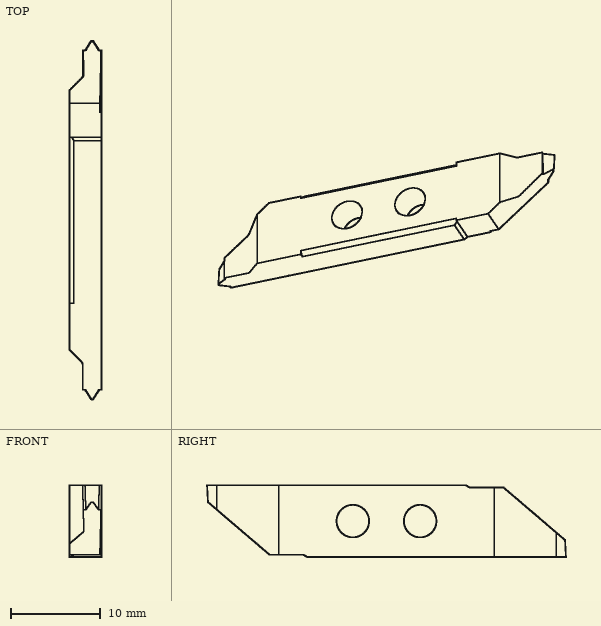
import cadquery as cq
import math

length = 40.0
thickness = 3.6
height = 8.0
half_length = length / 2
half_thickness = thickness / 2
half_height = height / 2

end_slope_angle = 40.5
nose_height = 1.8
seat_drop = 0.25
seat_ramp_length = 0.4
seat_edge = 9.25

neck_side_x = -0.32
neck_corner_distance = 4.07
neck_fillet = 0.45
side_clearance = 1.5
side_relief_length = 8.0

tip_x = (neck_side_x + half_thickness) / 2
tip_length = 1.1
tip_flank_angle = 32.0
tip_radius = 0.2
tip_clearance = 3.0

edge_chamfer = 0.5
chamfer_half_length = seat_edge
hole_diameter = 3.6
hole_spacing = 7.5

margin = 1.0


def body_blank():
    """Side outline, unchanged by a half turn about X, extruded across the thickness."""
    seat_z = half_height - seat_drop
    slope_run = (height - nose_height - seat_drop) / math.tan(math.radians(end_slope_angle))
    half_outline = [
        (-half_length, half_height),
        (seat_edge - seat_ramp_length, half_height),
        (seat_edge, seat_z),
        (half_length - slope_run, seat_z),
        (half_length, nose_height - half_height),
    ]
    outline = half_outline + [(-y, -z) for y, z in half_outline]
    return cq.Workplane("YZ").polyline(outline).close().extrude(half_thickness, both=True)


def leaning_side_cutter(edge_x, outward, reach):
    """Space beside the -Y end, bounded by a side face leaning in below its top edge."""
    depth = height + margin
    inset = depth * math.tan(math.radians(side_clearance))
    outer_x = outward * (half_thickness + margin)
    return (
        cq.Workplane("XZ", origin=(0, -half_length - margin, 0))
        .moveTo(edge_x, half_height)
        .lineTo(edge_x - outward * inset, half_height - depth)
        .lineTo(outer_x, half_height - depth)
        .lineTo(outer_x, half_height)
        .close()
        .extrude(-(reach + margin))
    )


def neck_cutter():
    """Leaning neck wall and 45 degree shoulder, with a fillet between them."""
    corner_y = neck_corner_distance - half_length
    shoulder_run = half_thickness + neck_side_x + margin
    overlap = thickness
    front_of_shoulder = (
        cq.Workplane("XY", origin=(0, 0, -height))
        .moveTo(neck_side_x - shoulder_run, corner_y + shoulder_run)
        .lineTo(neck_side_x + overlap, corner_y - overlap)
        .lineTo(neck_side_x + overlap, -length)
        .lineTo(neck_side_x - shoulder_run, -length)
        .close()
        .extrude(2 * height)
    )
    beside_wall = leaning_side_cutter(neck_side_x, -1, neck_corner_distance + shoulder_run)
    cutter = beside_wall.intersect(front_of_shoulder)
    corner_edge = cq.selectors.NearestToPointSelector((neck_side_x, corner_y, 0))
    return cutter.edges(corner_edge).fillet(neck_fillet)


def tip_cutter():
    """Space in front of the head, around the pointed tip with its rounded nose."""
    flank = math.radians(tip_flank_angle)
    nose_y = -half_length
    root_y = nose_y + tip_length + margin
    tangent_x = tip_radius * math.cos(flank)
    tangent_y = nose_y + tip_radius * (1 - math.sin(flank))
    root_x = tangent_x + (root_y - tangent_y) * math.tan(flank)
    depth = height
    lean_back = depth * math.tan(math.radians(tip_clearance))

    def tip_profile(plane):
        return (
            plane.moveTo(tip_x - root_x, root_y)
            .lineTo(tip_x - tangent_x, tangent_y)
            .threePointArc((tip_x, nose_y), (tip_x + tangent_x, tangent_y))
            .lineTo(tip_x + root_x, root_y)
            .close()
            .wire()
            .val()
        )

    upper = tip_profile(cq.Workplane("XY", origin=(0, 0, half_height)))
    lower = tip_profile(cq.Workplane("XY", origin=(0, lean_back, half_height - depth)))
    tip = cq.Workplane(obj=cq.Solid.makeLoft([upper, lower], True))
    space = cq.Workplane("XY").box(
        thickness + 2 * margin, tip_length + margin, height + 2 * margin
    ).translate((0, nose_y + (tip_length - margin) / 2, 0))
    return space.cut(tip)


def chamfer_cutter():
    """Triangular bar along the upper edge of the -X face."""
    return (
        cq.Workplane("XZ")
        .moveTo(-half_thickness, half_height - edge_chamfer)
        .lineTo(-half_thickness + edge_chamfer, half_height)
        .lineTo(-half_thickness, half_height)
        .close()
        .extrude(chamfer_half_length, both=True)
    )


def fixing_holes():
    """Two through holes across the thickness."""
    return (
        cq.Workplane("YZ")
        .pushPoints([(-hole_spacing / 2, 0), (hole_spacing / 2, 0)])
        .circle(hole_diameter / 2)
        .extrude(thickness, both=True)
    )


def cut_both_ends(body, cutter):
    """Remove the cutter and its copy turned half a turn about the X axis."""
    return body.cut(cutter).cut(cutter.rotate((0, 0, 0), (1, 0, 0), 180))


result = body_blank().cut(fixing_holes())
result = cut_both_ends(result, neck_cutter())
result = cut_both_ends(result, leaning_side_cutter(half_thickness, 1, side_relief_length))
result = cut_both_ends(result, tip_cutter())
result = cut_both_ends(result, chamfer_cutter())